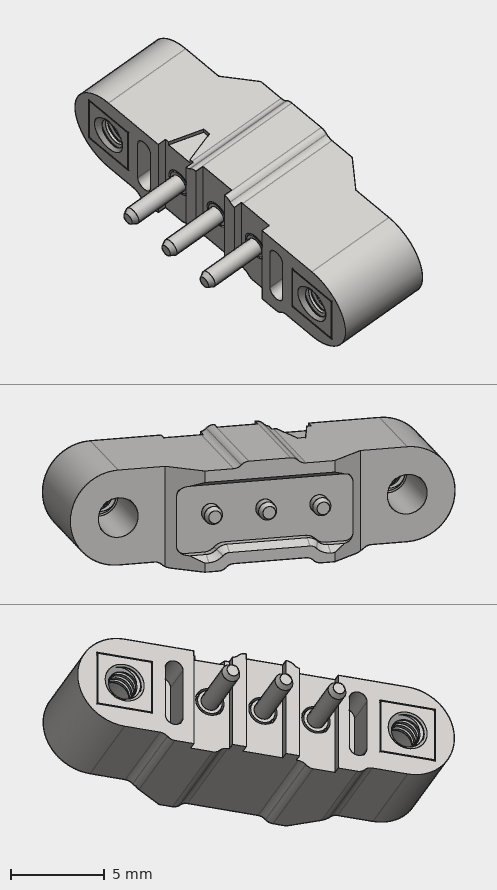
import cadquery as cq
import math

screw_spacing = 16.0
end_radius = 2.65
shoulder_depth = 5.6
housing_depth = 7.0
raised_half_top = 3.6
raised_half_base = 5.4

ridge_height = 0.35
ridge_half_width = 1.58
ridge_fillet = 0.595
lower_ridge_x = 4.0

pin_pitch = 3.0
pin_count = 3
pin_radius = 0.5
pin_front = -3.2
pin_back = 6.9
pin_front_tip_radius = 0.33
pin_back_tip_radius = 0.35
pin_tip_length = 0.33
pin_collar_radius = 0.69
collar_recess_radius = 0.8
collar_length = 0.5

relief_depth = 0.52
middle_relief_half_width = 1.12
outer_relief_inner_x = 1.9
outer_relief_outer_x = 4.08

slot_x = 5.2
slot_width = 1.0
slot_length = 3.85
slot_center_z = -0.1
slot_depth = 2.0

arrow_base_half = 0.84
arrow_tip_half = 0.22
arrow_tip_y = 2.5
arrow_depth = 0.25

recess_depth = 1.0
recess_half_length = 4.89
recess_top = 1.7
recess_bottom = -2.18
recess_top_corner = 0.72
recess_bottom_corner = 0.45
recess_key_half_width = 2.8
recess_key_top = -1.7
recess_key_fillet = 0.8
lead_in_depth = 0.53
lead_in_angle = 30.0

nut_width = 3.02
nut_thickness = 1.6
nut_gap = 0.06
thread_minor_radius = 0.8
thread_major_radius = 1.0
thread_pitch = 0.4
countersink_radius = 1.1
thread_mouth_width = 0.3
thread_root_width = 0.06
thread_overlap = 0.1
screw_clearance_radius = 1.1

screw_positions = [-screw_spacing / 2, screw_spacing / 2]
pin_positions = [(i - (pin_count - 1) / 2) * pin_pitch for i in range(pin_count)]


def plane_at(y):
    """A sketch plane facing +Y whose local axes are +Z and +X."""
    return cq.Workplane(cq.Plane(origin=(0, y, 0), xDir=(0, 0, 1), normal=(0, 1, 0)))


def prism(points, y_start, y_end):
    """Extrude a closed (x, z) outline from y_start to y_end."""
    return plane_at(y_start).polyline([(z, x) for x, z in points]).close().extrude(y_end - y_start)


def cylinder(x, radius, y_start, y_end):
    return plane_at(y_start).center(0, x).circle(radius).extrude(y_end - y_start)


def box(x_start, x_end, y_start, y_end, z_start, z_end):
    corners = [(x_start, z_start), (x_end, z_start), (x_end, z_end), (x_start, z_end)]
    return prism(corners, y_start, y_end)


def revolve_about_y(profile, x):
    """Revolve a closed (radius, y) profile about the Y line at x, Z = 0."""
    points = [(x - radius, y) for radius, y in profile]
    return cq.Workplane("XY").polyline(points).close().revolve(360, (x, 0, 0), (x, 1, 0))


def ridge(center_x, side):
    """A 45 degree sided ridge on the top (side = 1) or bottom (side = -1) face."""
    half_base = ridge_half_width + ridge_height / 2
    half_crest = ridge_half_width - ridge_height / 2
    root = side * end_radius
    crest = side * (end_radius + ridge_height)
    outline = [
        (center_x - half_base, 0),
        (center_x - half_base, root),
        (center_x - half_crest, crest),
        (center_x + half_crest, crest),
        (center_x + half_base, root),
        (center_x + half_base, 0),
    ]
    return prism(outline, 0, housing_depth)


def housing_block():
    length = screw_spacing + 2 * end_radius
    block = plane_at(0).slot2D(length, 2 * end_radius, 90).extrude(housing_depth)
    for center_x, side in [(0, 1), (-lower_ridge_x, -1), (lower_ridge_x, -1)]:
        block = block.union(ridge(center_x, side))
    block = block.clean()
    reach_x = lower_ridge_x + 2 * ridge_half_width
    reach_z = 2 * end_radius
    middle = cq.selectors.BoxSelector((-reach_x, 0, -reach_z), (reach_x, housing_depth, reach_z))
    return block.edges("|Y").edges(middle).fillet(ridge_fillet)


def shoulder_cut(side):
    """Space above one end shoulder, closed by the slope of the raised middle."""
    far_x = screw_spacing
    half_height = 2 * end_radius
    outline = [
        (side * raised_half_top, housing_depth),
        (side * raised_half_base, shoulder_depth),
        (side * far_x, shoulder_depth),
        (side * far_x, housing_depth),
    ]
    return cq.Workplane("XY").polyline(outline).close().extrude(half_height, both=True)


def recess_outline():
    """Rounded rectangle whose bottom edge is raised between two keyways."""
    key_height = recess_key_top - recess_bottom
    key_base = recess_key_half_width + key_height / 2
    key_crest = recess_key_half_width - key_height / 2
    outline = [
        (-recess_half_length, recess_top),
        (recess_half_length, recess_top),
        (recess_half_length, recess_bottom),
        (key_base, recess_bottom),
        (key_crest, recess_key_top),
        (-key_crest, recess_key_top),
        (-key_base, recess_bottom),
        (-recess_half_length, recess_bottom),
    ]
    floor_y = housing_depth - recess_depth
    body = prism(outline, floor_y, housing_depth)
    corner_x = (key_base + recess_half_length) / 2
    top_z = recess_top / 2
    far_x = 2 * recess_half_length
    far_z = 2 * end_radius
    key_box = cq.selectors.BoxSelector((-corner_x, 0, -far_z), (corner_x, housing_depth, 0))
    body = body.edges("|Y").edges(key_box).fillet(recess_key_fillet)
    top_box = cq.selectors.BoxSelector((-far_x, 0, top_z), (far_x, housing_depth, far_z))
    body = body.edges("|Y").edges(top_box).fillet(recess_top_corner)
    for side in (-1, 1):
        corner_box = cq.selectors.BoxSelector(
            (side * corner_x, 0, -far_z), (side * far_x, housing_depth, 0)
        )
        body = body.edges("|Y").edges(corner_box).fillet(recess_bottom_corner)
    return body


def mating_recess():
    """Straight-walled recess with a flared lead-in at its mouth."""
    body = recess_outline()
    mouth_wire = body.faces(">Y").wires().val().translate(cq.Vector(0, -lead_in_depth, 0))
    spread = lead_in_depth * math.tan(math.radians(lead_in_angle))
    mouth = mouth_wire.offset2D(spread)[0].translate(cq.Vector(0, lead_in_depth, 0))
    flare = cq.Solid.makeLoft([mouth_wire, mouth], True)
    return body.union(cq.Workplane(flare))


def arrow_cut():
    x = pin_positions[0]
    outline = [
        (x - arrow_base_half, relief_depth),
        (x - arrow_tip_half, arrow_tip_y),
        (x + arrow_tip_half, arrow_tip_y),
        (x + arrow_base_half, relief_depth),
    ]
    floor = cq.Workplane("XY").workplane(offset=end_radius - arrow_depth)
    return floor.polyline(outline).close().extrude(arrow_depth)


def pin_space(x):
    """Hole that holds a pin and its collar, with a clearance ring around the collar."""
    collar_end = relief_depth + collar_length
    shank = cylinder(x, pin_radius, 0, housing_depth)
    return shank.union(cylinder(x, collar_recess_radius, relief_depth, collar_end))


def build_housing():
    housing = housing_block()
    for side in (-1, 1):
        housing = housing.cut(shoulder_cut(side))
    housing = housing.cut(mating_recess())
    reliefs = [
        (-outer_relief_outer_x, -outer_relief_inner_x),
        (-middle_relief_half_width, middle_relief_half_width),
        (outer_relief_inner_x, outer_relief_outer_x),
    ]
    reach = 2 * end_radius
    for x_start, x_end in reliefs:
        housing = housing.cut(box(x_start, x_end, 0, relief_depth, -reach, reach))
    for x in (-slot_x, slot_x):
        slot = plane_at(0).center(slot_center_z, x).slot2D(slot_length, slot_width).extrude(slot_depth)
        housing = housing.cut(slot)
    housing = housing.cut(arrow_cut())
    for x in pin_positions:
        housing = housing.cut(pin_space(x))
    pocket_half = nut_width / 2 + nut_gap
    for x in screw_positions:
        pocket = box(x - pocket_half, x + pocket_half, 0, nut_thickness, -pocket_half, pocket_half)
        housing = housing.cut(pocket).cut(cylinder(x, screw_clearance_radius, 0, housing_depth))
    return housing


def build_pin(x):
    """Round contact with tapered tips and a collar just inside the housing."""
    collar_end = relief_depth + collar_length
    profile = [
        (0, pin_front),
        (pin_front_tip_radius, pin_front),
        (pin_radius, pin_front + pin_tip_length),
        (pin_radius, relief_depth),
        (pin_collar_radius, relief_depth),
        (pin_collar_radius, collar_end),
        (pin_radius, collar_end),
        (pin_radius, pin_back - pin_tip_length),
        (pin_back_tip_radius, pin_back),
        (0, pin_back),
    ]
    return revolve_about_y(profile, x)


def threaded_bore(x):
    """Bore with a helical V groove, running past both faces of the nut."""
    start_y = -thread_pitch
    bore_end = nut_thickness + thread_pitch
    inner_radius = thread_minor_radius - thread_overlap
    half_root = thread_root_width / 2
    half_mouth = thread_mouth_width / 2
    profile = [
        (inner_radius, -half_mouth),
        (thread_major_radius, -half_root),
        (thread_major_radius, half_root),
        (inner_radius, half_mouth),
    ]
    helix = cq.Wire.makeHelix(thread_pitch, bore_end - start_y, thread_minor_radius)
    groove = cq.Workplane("XZ").polyline(profile).close().sweep(cq.Workplane(helix), isFrenet=True)
    groove = groove.rotate((0, 0, 0), (0, 0, 1), 180).rotate((0, 0, 0), (1, 0, 0), -90)
    groove = groove.translate((x, start_y, 0))
    bore = cylinder(x, thread_minor_radius, start_y - thread_pitch, bore_end + thread_pitch)
    return bore.union(groove)


def build_nut(x):
    """Square nut with a countersunk, threaded bore."""
    half = nut_width / 2
    nut = box(x - half, x + half, 0, nut_thickness, -half, half)
    countersink = [(0, 0), (countersink_radius, 0), (0, countersink_radius)]
    return nut.cut(revolve_about_y(countersink, x)).cut(threaded_bore(x))


housing = build_housing()
pins = [build_pin(x) for x in pin_positions]
nuts = [build_nut(x) for x in screw_positions]

result = cq.Compound.makeCompound(
    [housing.val(), *[pin.val() for pin in pins], *[nut.val() for nut in nuts]]
)